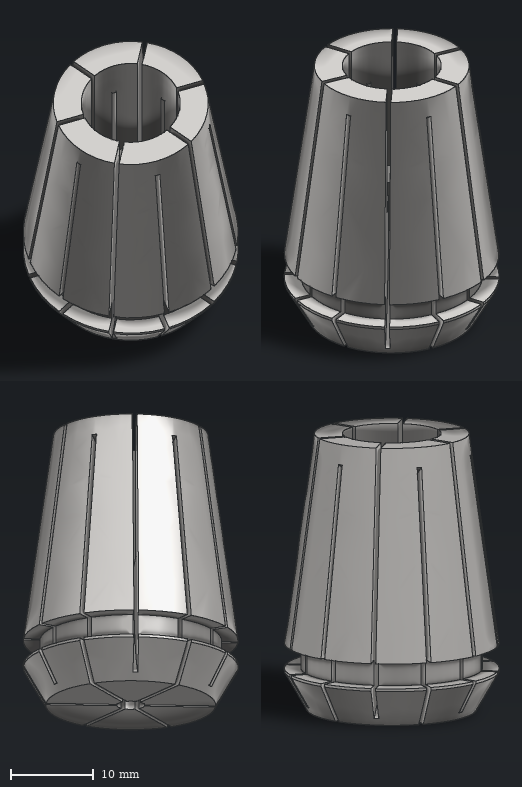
import cadquery as cq
import math


length = 34.0
max_radius = 26.0 / 2
neck_radius = 22.0 / 2
nose_cone_height = 4.73
rim_height = 0.35
groove_width = 3.05
taper_half_angle = 8.0
nose_half_angle = 30.0

small_bore_radius = 3.4 / 2
large_bore_radius = 11.97 / 2
small_bore_depth = 17.0

slots_per_set = 6
slot_width = 0.58
cutter_radius = 20.0
rear_slot_cutter_distance = 20.75
rear_slot_cutter_height = 18.3
nose_slot_cutter_distance = 20.35
nose_slot_cutter_height = 14.7
overrun = 0.35

slot_pitch = 360.0 / slots_per_set
groove_bottom = nose_cone_height + rim_height
groove_top = groove_bottom + groove_width
nose_radius = max_radius - nose_cone_height * math.tan(math.radians(nose_half_angle))
rear_radius = max_radius - (length - groove_top) * math.tan(math.radians(taper_half_angle))


def collet_body():
    """Revolve the half section, including the stepped bore, about Z."""
    half_section = [
        (small_bore_radius, 0),
        (nose_radius, 0),
        (max_radius, nose_cone_height),
        (max_radius, groove_bottom),
        (neck_radius, groove_bottom),
        (neck_radius, groove_top),
        (max_radius, groove_top),
        (rear_radius, length),
        (large_bore_radius, length),
        (large_bore_radius, small_bore_depth),
        (small_bore_radius, small_bore_depth),
    ]
    return cq.Workplane("XZ").polyline(half_section).close().revolve(360, (0, 0), (0, 1))


def radial_slot(cutter_distance, cutter_height, direction, open_end, angle):
    """Slot along +X turned by angle; direction is +1 if it opens at the rear, -1 at the nose."""
    inner_edge = cutter_distance - cutter_radius
    closed_end = cutter_height - direction * cutter_radius
    arc_middle = (
        cutter_distance - cutter_radius * math.cos(math.radians(45)),
        cutter_height - direction * cutter_radius * math.sin(math.radians(45)),
    )
    return (
        cq.Workplane("XZ")
        .moveTo(cutter_distance, closed_end)
        .threePointArc(arc_middle, (inner_edge, cutter_height))
        .lineTo(inner_edge, open_end)
        .lineTo(cutter_distance, open_end)
        .close()
        .extrude(slot_width / 2, both=True)
        .rotate((0, 0, 0), (0, 0, 1), angle)
    )


result = collet_body()
for index in range(slots_per_set):
    rear_angle = index * slot_pitch
    nose_angle = rear_angle + slot_pitch / 2
    rear_slot = radial_slot(
        rear_slot_cutter_distance, rear_slot_cutter_height, 1, length + overrun, rear_angle
    )
    nose_slot = radial_slot(
        nose_slot_cutter_distance, nose_slot_cutter_height, -1, -overrun, nose_angle
    )
    result = result.cut(rear_slot).cut(nose_slot)